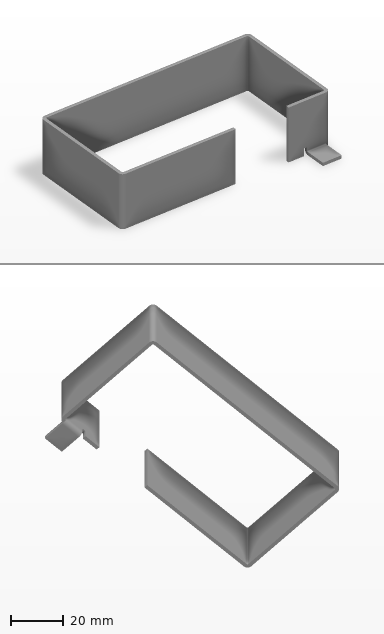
import cadquery as cq

frame_length = 100.5
frame_width = 52.0
height = 25.0
thickness = 1.5
inner_radius = 0.5
outer_radius = inner_radius + thickness

rear_wall_length = 20.0
front_wall_length = 55.0

tab_reach = 10.0
tab_width = 9.0
tab_rear = frame_length - outer_radius
tab_front = tab_rear - tab_width

relief_width = 1.5
relief_height = outer_radius + thickness


def rounded_prism(margin, radius):
    """Upright block inset from the frame outline, with rounded corners."""
    return (
        cq.Workplane("XY")
        .rect(frame_width - 2 * margin, frame_length - 2 * margin)
        .extrude(height)
        .edges("|Z")
        .fillet(radius)
        .translate((frame_width / 2, frame_length / 2, 0))
    )


def wall_block(y_start, y_end, block_height):
    """Block filling the right-hand wall between two Y positions."""
    return (
        cq.Workplane("XY")
        .box(thickness, y_end - y_start, block_height, centered=False)
        .translate((frame_width - thickness, y_start, 0))
    )


def bent_tab():
    """Flat tab and the quarter bend that joins it to the wall."""
    wall_inner = frame_width - thickness
    bend_x = frame_width + inner_radius
    tab_end = frame_width + tab_reach
    return (
        cq.Workplane("XZ", origin=(0, tab_rear, 0))
        .moveTo(wall_inner, outer_radius)
        .radiusArc((bend_x, 0), -outer_radius)
        .lineTo(tab_end, 0)
        .lineTo(tab_end, thickness)
        .lineTo(bend_x, thickness)
        .radiusArc((frame_width, outer_radius), inner_radius)
        .close()
        .extrude(tab_width)
    )


frame = rounded_prism(0, outer_radius).cut(rounded_prism(thickness, inner_radius))
opening = wall_block(front_wall_length, frame_length - rear_wall_length, height)
bend_clearance = wall_block(tab_front, tab_rear, outer_radius)
relief_slit = wall_block(tab_front - relief_width, tab_front, relief_height)

result = frame.cut(opening).cut(bend_clearance).cut(relief_slit).union(bent_tab())